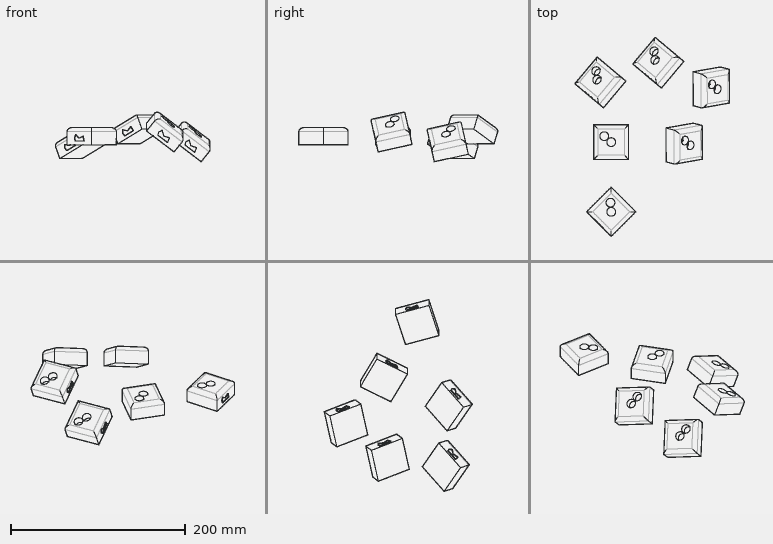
import cadquery as cq
import math

DIAGONAL = 56.5
SIDE = DIAGONAL / math.sqrt(2)
HEIGHT = SIDE / 2
RIM_RADIUS = SIDE / 8

HOLE_DIAMETER = 10.0
HOLE_DEPTH = 10.0
DRILL_ANGLE = 118
OFFSET_HOLE_X = -8.0
OFFSET_HOLE_Y = 6.8
HOLE_CENTRES = [(0, 0), (OFFSET_HOLE_X, OFFSET_HOLE_Y)]

POCKET_DEPTH = 1.0
POCKET_OUTLINE = [
    (-6.8, 4.0),
    (7.3, 4.0),
    (5.7, 9.8),
    (-1.0, 7.5),
    (-6.5, 11.6),
    (-8.2, 7.8),
]

LEVEL = (0, 0, 0)
TURNED = (0, 0, -45)
LEFT_TILT = (0, -25, -40)
RIGHT_TILT = (12.5, 38, 0.4)

PLACEMENTS = [
    ((0, 0, 0), LEVEL),
    ((0, -79.8, 0), TURNED),
    ((-9.8, 66.1, -7.5), LEFT_TILT),
    ((56.5, 88.7, 9.4), LEFT_TILT),
    ((109.5, 63.9, -3.2), RIGHT_TILT),
    ((78.5, -0.5, 8.0), RIGHT_TILT),
]


def drilled_hole(x, y):
    """Cutter for one hole, revolved about the vertical line through (x, y)."""
    radius = HOLE_DIAMETER / 2
    cone_height = radius / math.tan(math.radians(DRILL_ANGLE / 2))
    cone_start = HEIGHT - HOLE_DEPTH
    return (
        cq.Workplane("XZ")
        .moveTo(0, HEIGHT)
        .lineTo(radius, HEIGHT)
        .lineTo(radius, cone_start)
        .lineTo(0, cone_start - cone_height)
        .close()
        .revolve(360, (0, 0), (0, 1))
        .translate((x, y, 0))
    )


def side_pocket():
    """Cutter for the pocket, reaching inward from the front side."""
    return (
        cq.Workplane("XZ", origin=(0, -SIDE / 2, 0))
        .polyline(POCKET_OUTLINE)
        .close()
        .extrude(-POCKET_DEPTH)
    )


def make_block():
    """One block, standing level with its bottom centre at the origin."""
    block = cq.Workplane("XY").box(SIDE, SIDE, HEIGHT, centered=(True, True, False))
    block = block.faces(">Z").edges().fillet(RIM_RADIUS)
    for x, y in HOLE_CENTRES:
        block = block.cut(drilled_hole(x, y))
    return block.cut(side_pocket())


def place(block, position, turn):
    """A copy of the block, turned about its bottom centre and moved to its position."""
    turn_x, turn_y, turn_z = turn
    turned = (
        block.rotate((0, 0, 0), (0, 1, 0), turn_y)
        .rotate((0, 0, 0), (1, 0, 0), turn_x)
        .rotate((0, 0, 0), (0, 0, 1), turn_z)
    )
    return turned.translate(position)


level_block = make_block()
blocks = [place(level_block, position, turn) for position, turn in PLACEMENTS]

result = cq.Compound.makeCompound([block.val() for block in blocks])